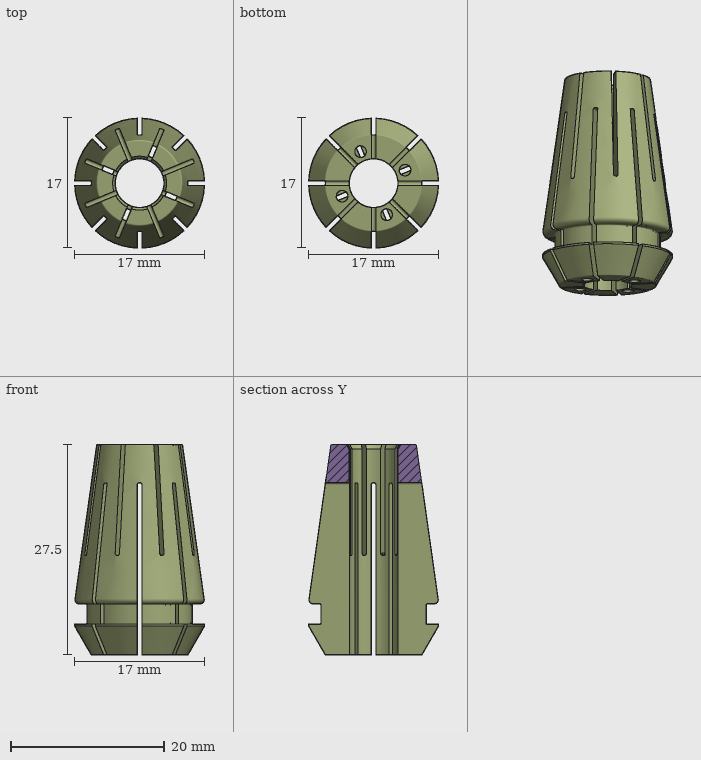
import cadquery as cq
import math

length = 27.5
bore_diameter = 6.35

ring_radius = 8.5
ring_top = 4.02
ring_land = 0.25
nose_angle = 30.0
nose_edge_round = 0.15

groove_radius = 6.9
groove_top = 6.65
groove_corner_round = 0.15

taper_angle = 8.0
taper_edge_round = 0.55
taper_top_radius = 5.6
top_edge_round = 0.2

mouth_angle = 30.0
mouth_depth = 0.6

slots_per_end = 8
slot_width = 0.6
lower_slot_end = 22.5
upper_slot_end = 13.0

hole_count = 4
hole_diameter = 1.5
hole_circle_radius = 4.45


def slope_run(height, angle):
    """Radial change over a height on a face inclined to the axis by an angle in degrees."""
    return height * math.tan(math.radians(angle))


def rounded_edge(body, height, radius, round_radius):
    """Round the circular edge found at the given height and radius."""
    margin = 0.015
    outer = radius + margin
    inner = radius - margin
    in_outer = cq.selectors.BoxSelector(
        (-outer, -outer, height - margin), (outer, outer, height + margin), boundingbox=True
    )
    in_inner = cq.selectors.BoxSelector(
        (-inner, -inner, height - margin), (inner, inner, height + margin), boundingbox=True
    )
    return body.edges(in_outer - in_inner).fillet(round_radius)


def make_body():
    """Solid of revolution with its edge rounds."""
    land_bottom = ring_top - ring_land
    nose_radius = ring_radius - slope_run(land_bottom, nose_angle)
    taper_base_radius = taper_top_radius + slope_run(length - groove_top, taper_angle)
    body = (
        cq.Workplane("XZ")
        .moveTo(0, 0)
        .lineTo(nose_radius, 0)
        .lineTo(ring_radius, land_bottom)
        .lineTo(ring_radius, ring_top)
        .lineTo(groove_radius, ring_top)
        .lineTo(groove_radius, groove_top)
        .lineTo(taper_base_radius, groove_top)
        .lineTo(taper_top_radius, length)
        .lineTo(0, length)
        .close()
        .revolve(360, (0, 0, 0), (0, 1, 0))
    )
    body = rounded_edge(body, 0, nose_radius, nose_edge_round)
    body = rounded_edge(body, ring_top, groove_radius, groove_corner_round)
    body = rounded_edge(body, groove_top, groove_radius, groove_corner_round)
    body = rounded_edge(body, groove_top, taper_base_radius, taper_edge_round)
    return rounded_edge(body, length, taper_top_radius, top_edge_round)


def make_bore():
    """Through bore with a conical mouth at the top."""
    bore_radius = bore_diameter / 2
    mouth_radius = bore_radius + slope_run(mouth_depth, mouth_angle)
    return (
        cq.Workplane("XZ")
        .moveTo(0, 0)
        .lineTo(bore_radius, 0)
        .lineTo(bore_radius, length - mouth_depth)
        .lineTo(mouth_radius, length)
        .lineTo(0, length)
        .close()
        .revolve(360, (0, 0, 0), (0, 1, 0))
    )


def make_slot(open_height, end_height, angle):
    """Radial slot from an open end of the collet to a round end, pointing along an angle."""
    half_width = slot_width / 2
    toward_open = math.copysign(1, open_height - end_height)
    arc_height = end_height + toward_open * half_width
    return (
        cq.Workplane("YZ")
        .moveTo(-half_width, open_height)
        .lineTo(-half_width, arc_height)
        .threePointArc((0, end_height), (half_width, arc_height))
        .lineTo(half_width, open_height)
        .close()
        .extrude(ring_radius + slot_width)
        .rotate((0, 0, 0), (0, 0, 1), angle)
    )


def make_axial_holes(first_angle):
    """Holes from the bottom face up to the centres of the round ends of the upper slots."""
    depth = upper_slot_end + slot_width / 2
    return (
        cq.Workplane("XY")
        .polarArray(hole_circle_radius, first_angle, 360, hole_count)
        .circle(hole_diameter / 2)
        .extrude(depth)
    )


slot_pitch = 360 / slots_per_end
upper_offset = slot_pitch / 2

result = make_body().cut(make_bore())
for index in range(slots_per_end):
    lower_angle = index * slot_pitch
    result = result.cut(make_slot(0, lower_slot_end, lower_angle))
    result = result.cut(make_slot(length, upper_slot_end, lower_angle + upper_offset))
result = result.cut(make_axial_holes(slot_pitch + upper_offset))